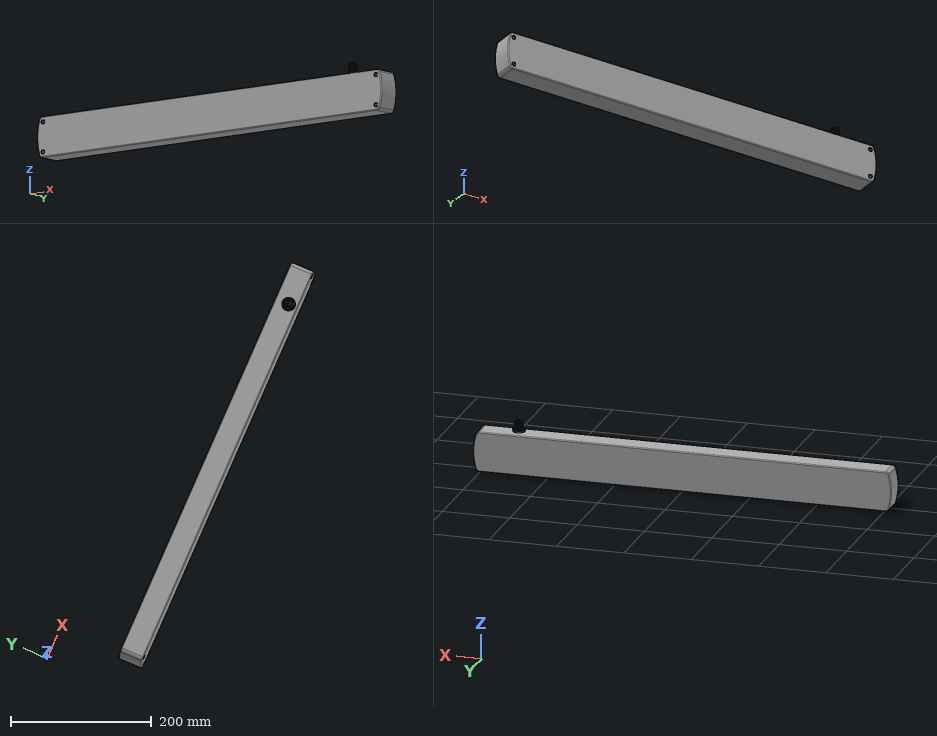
import cadquery as cq

LENGTH = 621.0
DEPTH = 35.0
TOTAL_HEIGHT = 76.0
BODY_HEIGHT = 59.5

END_BULGE = 5.0
CORNER_RADIUS = 5.5
RIM_RADIUS = 1.55

SCREW_END_INSET = 10.5
SCREW_EDGE_INSET = 8.0
SCREW_RECESS_DIAMETER = 5.5
SCREW_RECESS_DEPTH = 2.0

CONNECTOR_X = 248.5
CONNECTOR_Y = -4.0
NECK_DIAMETER = 17.5
NECK_HEIGHT = 2.5
FLANGE_DIAMETER = 19.0
FLANGE_THICKNESS = 0.5
COLLAR_DIAMETER = 16.0
COLLAR_HEIGHT = 1.0
THREAD_DIAMETER = 13.0
THREAD_PITCH = 2.0
THREAD_DEPTH = 0.5
THREAD_TURNS = 5
TIP_CHAMFER = 1.0
SOCKET_DIAMETER = 9.5
SOCKET_DEPTH = 7.5
OUTER_PIN_COUNT = 4
PIN_START_ANGLE = 45
PIN_DIAMETER = 1.0
PIN_CIRCLE_DIAMETER = 5.0
PIN_HEIGHT = 5.5

HALF_LENGTH = LENGTH / 2
HALF_HEIGHT = BODY_HEIGHT / 2
FRONT_Y = -DEPTH / 2
CONNECTOR_HEIGHT = TOTAL_HEIGHT - BODY_HEIGHT


def make_housing():
    """Long box with outward-curved ends and rounded edges."""
    corner_x = HALF_LENGTH - END_BULGE
    return (
        cq.Workplane("XZ", origin=(0, DEPTH / 2, 0))
        .moveTo(-corner_x, -HALF_HEIGHT)
        .lineTo(corner_x, -HALF_HEIGHT)
        .threePointArc((HALF_LENGTH, 0), (corner_x, HALF_HEIGHT))
        .lineTo(-corner_x, HALF_HEIGHT)
        .threePointArc((-HALF_LENGTH, 0), (-corner_x, -HALF_HEIGHT))
        .close()
        .extrude(DEPTH)
        .edges("|Y").fillet(CORNER_RADIUS)
        .faces("<Y or >Y").edges().fillet(RIM_RADIUS)
    )


def cut_screws(housing):
    """Sink a round screw recess into each corner of the front face."""
    spacing_x = LENGTH - 2 * SCREW_END_INSET
    spacing_z = BODY_HEIGHT - 2 * SCREW_EDGE_INSET
    return (
        housing
        .copyWorkplane(cq.Workplane("XZ", origin=(0, FRONT_Y, 0)))
        .rarray(spacing_x, spacing_z, 2, 2)
        .hole(SCREW_RECESS_DIAMETER, SCREW_RECESS_DEPTH)
    )


def make_barrel():
    """Revolved neck, flange, collar and barrel, the thread being a stack of V-shaped ridges."""
    crest = THREAD_DIAMETER / 2
    root = crest - THREAD_DEPTH
    collar = COLLAR_DIAMETER / 2
    neck = NECK_DIAMETER / 2
    flange = FLANGE_DIAMETER / 2
    flange_top = NECK_HEIGHT + FLANGE_THICKNESS
    collar_top = flange_top + COLLAR_HEIGHT
    profile = [
        (0, 0),
        (neck, 0),
        (neck, NECK_HEIGHT),
        (flange, NECK_HEIGHT),
        (flange, flange_top),
        (collar, flange_top),
        (collar, collar_top),
        (root, collar_top),
    ]
    for turn in range(THREAD_TURNS):
        ridge_start = collar_top + turn * THREAD_PITCH
        profile.append((crest, ridge_start + THREAD_PITCH / 2))
        profile.append((root, ridge_start + THREAD_PITCH))
    profile += [
        (root, CONNECTOR_HEIGHT - TIP_CHAMFER),
        (root - TIP_CHAMFER / 2, CONNECTOR_HEIGHT),
        (0, CONNECTOR_HEIGHT),
    ]
    return cq.Workplane("XZ").polyline(profile).close().revolve(360, (0, 0), (0, 1))


def make_connector():
    """Threaded barrel with an open socket holding contact pins."""
    socket_floor = CONNECTOR_HEIGHT - SOCKET_DEPTH
    floor_plane = cq.Workplane("XY", origin=(0, 0, socket_floor))
    socket = floor_plane.circle(SOCKET_DIAMETER / 2).extrude(SOCKET_DEPTH)
    outer_pins = (
        floor_plane
        .polarArray(PIN_CIRCLE_DIAMETER / 2, PIN_START_ANGLE, 360, OUTER_PIN_COUNT)
        .circle(PIN_DIAMETER / 2)
        .extrude(PIN_HEIGHT)
    )
    center_pin = floor_plane.circle(PIN_DIAMETER / 2).extrude(PIN_HEIGHT)
    return make_barrel().cut(socket).union(outer_pins).union(center_pin)


connector = make_connector().translate((CONNECTOR_X, CONNECTOR_Y, HALF_HEIGHT))
result = cut_screws(make_housing()).union(connector)